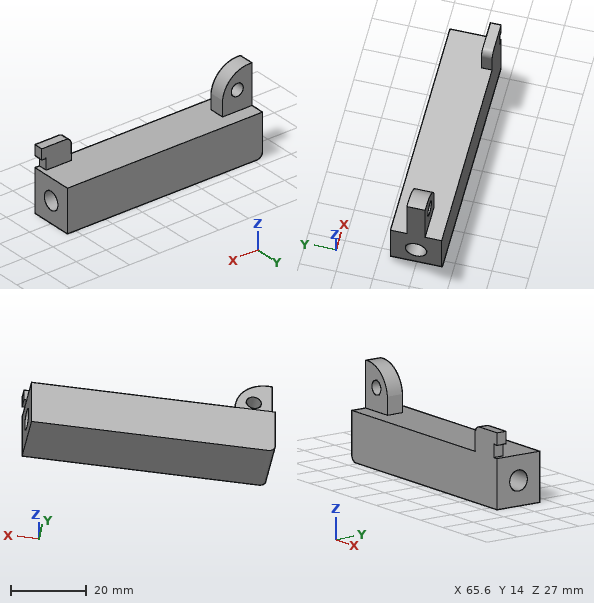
import cadquery as cq

length = 65.6
body_side = 14.0
edge_radius = 2.0
bore_diameter = 5.8

lug_corner_height = 26.95
lug_shoulder_height = 18.95
lug_length = 10.0
lug_thickness = 5.0
lug_radius = 9.0
pin_diameter = 4.0
pin_height = 20.5

hook_length = 10.0
hook_thickness = 2.95
hook_top = 21.0
notch_depth = 1.5
notch_height = 3.6


def make_body():
    """Square bar with a rounded lower edge at -X and a lengthwise bore."""
    bar = cq.Workplane("XY").box(length, body_side, body_side, centered=False)
    bar = bar.edges("<X and <Z").fillet(edge_radius)
    bore = (
        cq.Workplane("YZ")
        .center(body_side / 2, body_side / 2)
        .circle(bore_diameter / 2)
        .extrude(length)
    )
    return bar.cut(bore)


def make_lug():
    """Upright plate with a large rounded outer corner and a pin hole along Y."""
    arc_start = (0, lug_corner_height)
    arc_end = (lug_length, lug_shoulder_height)
    plate = (
        cq.Workplane("XZ")
        .moveTo(0, body_side)
        .lineTo(*arc_start)
        .radiusArc(arc_end, lug_radius)
        .lineTo(lug_length, body_side)
        .close()
        .extrude(-lug_thickness)
    )
    pin_hole = (
        cq.Workplane("XZ")
        .center(lug_length / 2, pin_height)
        .circle(pin_diameter / 2)
        .extrude(-lug_thickness)
    )
    return plate.cut(pin_hole).translate((0, (body_side - lug_thickness) / 2, 0))


def make_hook():
    """Thin upright tab with a rounded corner and a notch at its +X foot."""
    tab = cq.Workplane("XY").box(
        hook_length, hook_thickness, hook_top - body_side, centered=False
    )
    tab = tab.edges("<X and >Z").fillet(edge_radius)
    notch = (
        cq.Workplane("XY")
        .box(notch_depth, hook_thickness, notch_height, centered=False)
        .translate((hook_length - notch_depth, 0, 0))
    )
    return tab.cut(notch).translate((length - hook_length, 0, body_side))


result = make_body().union(make_lug()).union(make_hook())